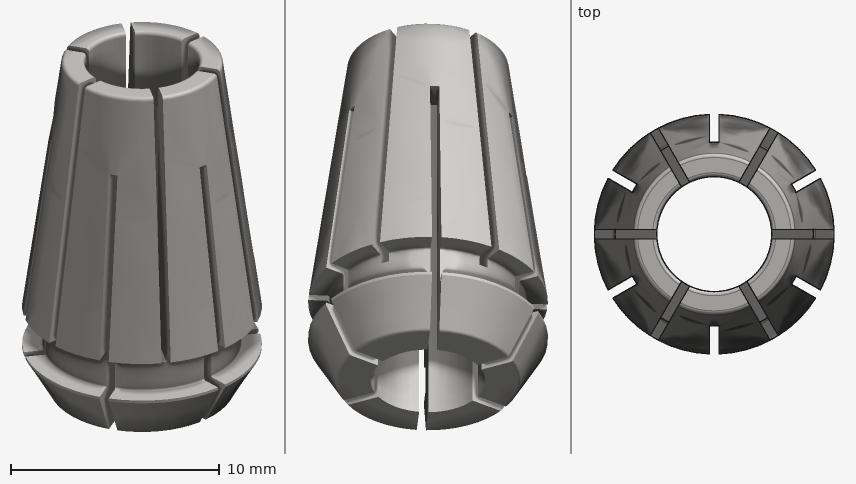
import cadquery as cq
import math

total_height = 18.0
max_radius = 11.5 / 2
bore_radius = 5.5 / 2

nose_angle = 30.0
rim_top_z = 2.5
rim_band_height = 0.15
rim_band_z = rim_top_z - rim_band_height
nose_radius = max_radius - rim_band_z * math.tan(math.radians(nose_angle))

groove_radius = 9.5 / 2
groove_top_z = 4.5

taper_angle = 8.0
top_radius = max_radius - (total_height - groove_top_z) * math.tan(math.radians(taper_angle))

mouth_fillet = 0.2
groove_fillet = 0.1
nose_fillet = 0.2

slot_width = 0.45
slots_per_end = 6
slot_pitch = 360.0 / slots_per_end
upper_slot_floor_z = 4.0
lower_slot_roof_z = 14.0
cutter_overrun = 1.0


def edges_at(body, ring_radius, ring_z):
    """Select the circular edges of a given radius and height."""
    tolerance = 1e-4
    return body.edges("%CIRCLE").filter(
        lambda edge: abs(edge.radius() - ring_radius) < tolerance
        and abs(edge.Center().z - ring_z) < tolerance
    )


def collet_body():
    """Revolved collet with its bore and rounded edges, before slotting."""
    profile = [
        (bore_radius, 0),
        (nose_radius, 0),
        (max_radius, rim_band_z),
        (max_radius, rim_top_z),
        (groove_radius, rim_top_z),
        (groove_radius, groove_top_z),
        (max_radius, groove_top_z),
        (top_radius, total_height),
        (bore_radius, total_height),
    ]
    body = cq.Workplane("XZ").polyline(profile).close().revolve(360, (0, 0), (0, 1))
    rounded_rings = [
        (nose_radius, 0, nose_fillet),
        (groove_radius, rim_top_z, groove_fillet),
        (groove_radius, groove_top_z, groove_fillet),
        (top_radius, total_height, mouth_fillet),
        (bore_radius, total_height, mouth_fillet),
    ]
    for ring_radius, ring_z, fillet_radius in rounded_rings:
        body = edges_at(body, ring_radius, ring_z).fillet(fillet_radius)
    return body


def radial_slot(angle, bottom_z, top_z):
    """Thin cutter from the axis outward through the wall at the given angle."""
    cutter_length = max_radius + cutter_overrun
    return (
        cq.Workplane("XY", origin=(0, 0, bottom_z))
        .rect(cutter_length, slot_width)
        .extrude(top_z - bottom_z)
        .translate((cutter_length / 2, 0, 0))
        .rotate((0, 0, 0), (0, 0, 1), angle)
    )


result = collet_body()
for index in range(slots_per_end):
    upper_angle = index * slot_pitch
    lower_angle = upper_angle + slot_pitch / 2
    result = result.cut(radial_slot(upper_angle, upper_slot_floor_z, total_height))
    result = result.cut(radial_slot(lower_angle, 0, lower_slot_roof_z))